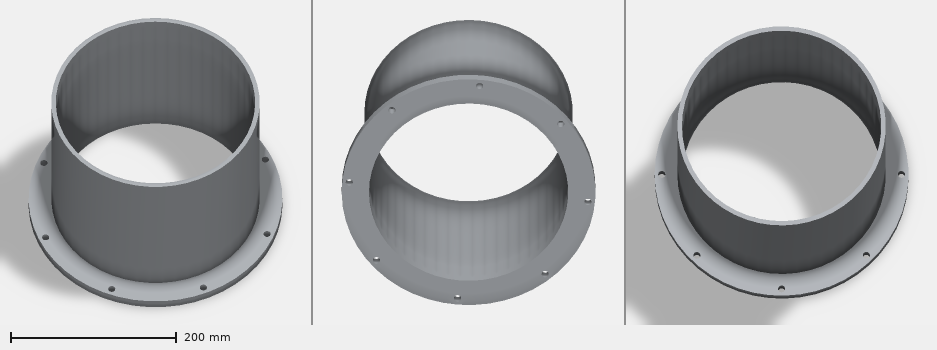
import cadquery as cq

flange_diameter = 306.2
flange_thickness = 12.0
total_height = 209.8

tube_outer_diameter = 251.5
tube_wall = 5.5
bore_diameter = tube_outer_diameter - 2 * tube_wall

hole_count = 8
hole_diameter = 8.5
bolt_circle_diameter = 289.0
first_hole_angle = 180 / hole_count

flange = cq.Workplane("XY").circle(flange_diameter / 2).extrude(flange_thickness)
tube = cq.Workplane("XY").circle(tube_outer_diameter / 2).extrude(total_height)
body = flange.union(tube)

bore = cq.Workplane("XY").circle(bore_diameter / 2).extrude(total_height)

bolt_holes = (
    cq.Workplane("XY")
    .polarArray(bolt_circle_diameter / 2, first_hole_angle, 360, hole_count)
    .circle(hole_diameter / 2)
    .extrude(flange_thickness)
)

result = body.cut(bore).cut(bolt_holes)